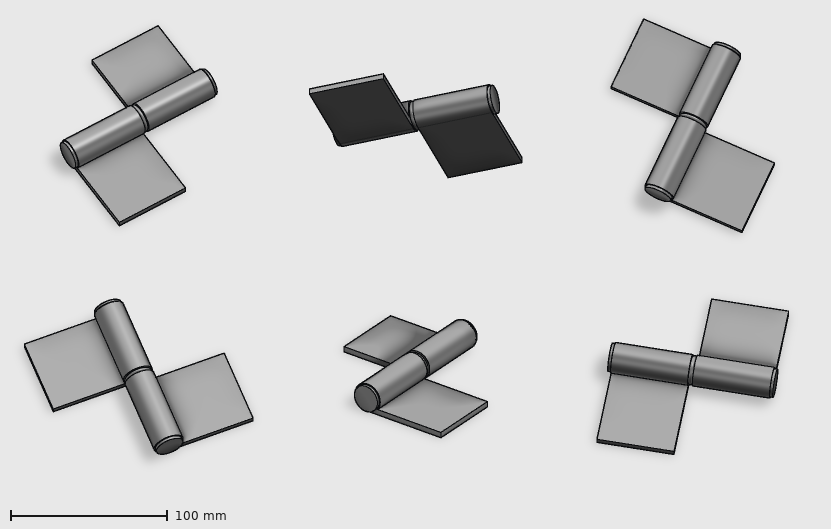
import cadquery as cq

total_width = 116.0
total_length = 107.0

barrel_diameter = 20.0
plate_thickness = 4.0
leaf_length = 50.0

cap_diameter = 18.3
washer_diameter = 19.0
washer_thickness = 3.0

barrel_radius = barrel_diameter / 2
plate_reach = total_width / 2
cap_thickness = (total_length - 2 * leaf_length - washer_thickness) / 2


def cylinder_along_y(diameter, start_y, length):
    """Cylinder on the hinge axis (the Y axis), from start_y towards +Y."""
    plane = cq.Plane(origin=(0, start_y, 0), xDir=(1, 0, 0), normal=(0, 1, 0))
    return cq.Workplane(plane).circle(diameter / 2).extrude(length)


def make_leaf(side, start_y):
    """Barrel with its plate, which extends to +X (side = 1) or -X (side = -1)."""
    barrel = cylinder_along_y(barrel_diameter, start_y, leaf_length)
    plate = (
        cq.Workplane("XY")
        .box(plate_reach, leaf_length, plate_thickness, centered=(True, False, False))
        .translate((side * plate_reach / 2, start_y, -barrel_radius))
    )
    return barrel.union(plate)


def make_washer():
    """Washer with a fully rounded rim, centred between the two leaves."""
    rim_radius = washer_diameter / 2
    half_thickness = washer_thickness / 2
    face_radius = rim_radius - half_thickness
    half_section = (
        cq.Workplane("XY")
        .moveTo(0, -half_thickness)
        .lineTo(face_radius, -half_thickness)
        .threePointArc((rim_radius, 0), (face_radius, half_thickness))
        .lineTo(0, half_thickness)
        .close()
    )
    return half_section.revolve(360, (0, 0, 0), (0, 1, 0))


leaf_inner_y = washer_thickness / 2
leaf_outer_y = leaf_inner_y + leaf_length

front_leaf = make_leaf(1, -leaf_outer_y)
back_leaf = make_leaf(-1, leaf_inner_y)
washer = make_washer()
caps = [
    cylinder_along_y(cap_diameter, start_y, cap_thickness)
    for start_y in (-leaf_outer_y - cap_thickness, leaf_outer_y)
]

result = cq.Compound.makeCompound(
    [front_leaf.val(), back_leaf.val(), washer.val(), *[cap.val() for cap in caps]]
)